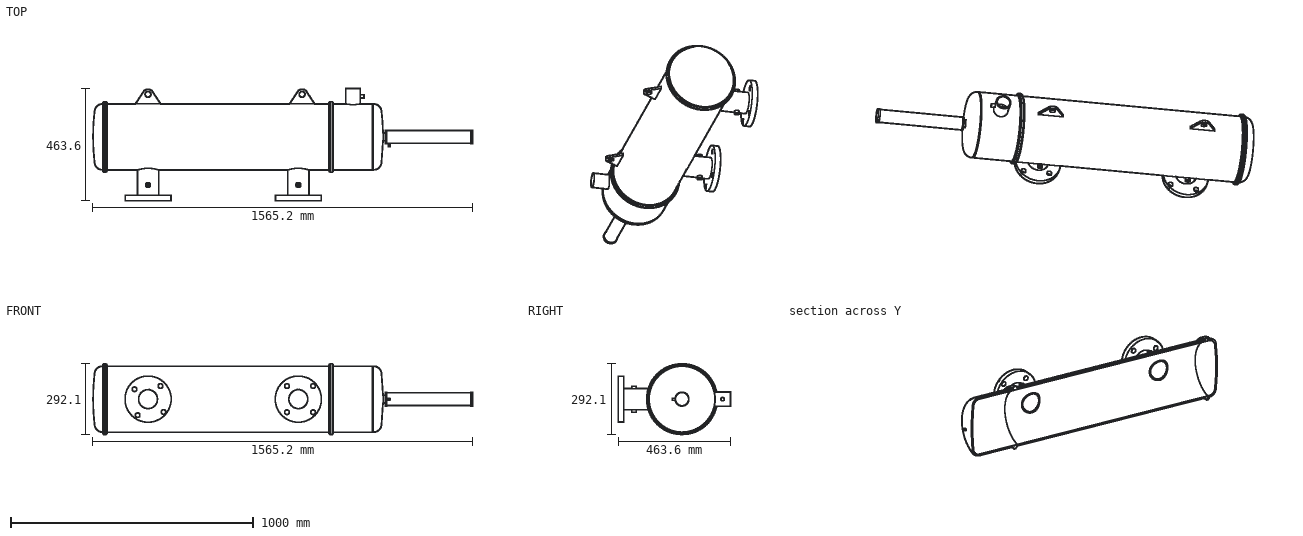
import cadquery as cq
import math

overall_length = 1565.21

shell_od = 273.05
wall = 9.27
ring_od = 292.1
ring_width = 19.0
ring_edge_chamfer = 5.5
head_depth = 40.0
knuckle_radius = 34.0
lid_joint_x = head_depth + ring_width / 2
chamber_joint_x = 972.0
chamber_end_x = 1196.0
weld_groove_width = 5.0
weld_groove_depth = 0.8

first_nozzle_x = 227.2
nozzle_spacing = 619.3
nozzle_xs = (first_nozzle_x, first_nozzle_x + nozzle_spacing)
nozzle_bolt_angles = (52.0, 45.0)
nozzle_bolt_offsets = ((4.0, -6.0), (7.0, 0.0))
nozzle_face_y = -263.525
nozzle_od = 88.9
nozzle_bore = 77.9
flange_od = 190.5
flange_thickness = 23.8
bolt_circle = 152.4
bolt_hole = 19.05
bolt_count = 4
gauge_port_y = -198.0
gauge_port_od = 20.0
gauge_port_bore = 9.0
gauge_port_reach = 54.0

lug_spacing = 635.0
first_lug_x = 227.0
lug_xs = (first_lug_x, first_lug_x + lug_spacing)
lug_half_base = 52.0
lug_eye_y = 175.5
lug_tip_radius = 22.0
lug_eye = 23.0
lug_thickness = 9.525

outlet_x = 1072.0
outlet_top_y = 200.025
outlet_od = 60.3
outlet_bore = 52.5
drain_y = 167.0
drain_od = 14.0
drain_reach = 45.5

cylinder_start_x = 1205.5
cylinder_od = 54.0
cap_od = 57.15
front_cap_thickness = 5.0
rear_cap_thickness = 8.0
rod_od = 33.4
piston_port_x = 1220.5
piston_port_od = 8.5
piston_port_reach = 41.0

shell_radius = shell_od / 2
inner_radius = shell_radius - wall
knuckle_offset = shell_radius - knuckle_radius
knuckle_drop = head_depth - knuckle_radius
crown_radius = knuckle_radius + (knuckle_offset**2 + knuckle_drop**2) / (2 * knuckle_drop)


def x_cylinder(start, end, diameter):
    return cq.Workplane("YZ", origin=(start, 0, 0)).circle(diameter / 2).extrude(end - start)


def y_cylinder(x, start, end, diameter):
    plane = cq.Plane(origin=(x, start, 0), xDir=(1, 0, 0), normal=(0, 1, 0))
    return cq.Workplane(plane).circle(diameter / 2).extrude(end - start)


def z_cylinder(x, y, reach, diameter):
    """Cylinder along Z, reaching equally far above and below Z = 0."""
    return cq.Workplane("XY", origin=(x, y, 0)).circle(diameter / 2).extrude(reach, both=True)


def solid_head(inset):
    """Dished head with its crown at X = 0, its outer surface moved inward by the inset."""
    crown = crown_radius - inset
    knuckle = knuckle_radius - inset
    slope = math.asin(knuckle_offset / (crown_radius - knuckle_radius))
    half = slope / 2
    middle = (slope + math.pi / 2) / 2

    def on_crown(angle):
        return (crown_radius - crown * math.cos(angle), crown * math.sin(angle))

    def on_knuckle(angle):
        return (head_depth - knuckle * math.cos(angle), knuckle_offset + knuckle * math.sin(angle))

    return (
        cq.Workplane("XY")
        .moveTo(*on_crown(0))
        .threePointArc(on_crown(half), on_crown(slope))
        .threePointArc(on_knuckle(middle), on_knuckle(math.pi / 2))
        .lineTo(head_depth, 0)
        .close()
        .revolve(360, (0, 0, 0), (1, 0, 0))
    )


def head():
    """Hollow dished head with its crown at X = 0, opening toward +X."""
    return solid_head(0).cut(solid_head(wall))


def pipe(start, end):
    return x_cylinder(start, end, shell_od).cut(x_cylinder(start, end, 2 * inner_radius))


def ring(start):
    """Flat ring around the shell, with both outer edges chamfered."""
    end = start + ring_width
    disc = x_cylinder(start, end, ring_od).edges().chamfer(ring_edge_chamfer)
    return disc.cut(x_cylinder(start, end, 2 * inner_radius))


def lid_ring():
    """Ring at the lid joint, shared half and half by the lid and the shell."""
    return ring(lid_joint_x - ring_width / 2)


def make_lid():
    half_ring = lid_ring().cut(x_cylinder(lid_joint_x, chamber_joint_x, 2 * ring_od))
    return head().union(half_ring)


def lug(x):
    base_y = math.sqrt(shell_radius**2 - (lug_thickness / 2) ** 2) - wall / 2
    rise = lug_eye_y - shell_radius
    distance = math.hypot(lug_half_base, rise)
    tangent = math.atan2(-rise, lug_half_base) + math.acos(lug_tip_radius / distance)
    side_x = lug_tip_radius * math.cos(tangent)
    side_y = lug_eye_y + lug_tip_radius * math.sin(tangent)
    plate = (
        cq.Workplane("XY", origin=(x, 0, -lug_thickness / 2))
        .moveTo(-lug_half_base, base_y)
        .lineTo(lug_half_base, base_y)
        .lineTo(lug_half_base, shell_radius)
        .lineTo(side_x, side_y)
        .threePointArc((0, lug_eye_y + lug_tip_radius), (-side_x, side_y))
        .lineTo(-lug_half_base, shell_radius)
        .close()
        .extrude(lug_thickness)
    )
    return plate.cut(z_cylinder(x, lug_eye_y, lug_thickness, lug_eye))


def make_shell():
    half_ring = lid_ring().cut(x_cylinder(0, lid_joint_x, 2 * ring_od))
    body = pipe(lid_joint_x, chamber_joint_x).union(half_ring)
    for x in lug_xs:
        body = body.union(lug(x))
    for x in nozzle_xs:
        body = body.cut(y_cylinder(x, nozzle_face_y, 0, nozzle_od))
    return body


def make_nozzle(x, bolt_angle, bolt_offset):
    """Neck with a bolted flange and a gauge port above and below."""
    neck = y_cylinder(x, nozzle_face_y, 0, nozzle_od)
    flange = y_cylinder(x, nozzle_face_y, nozzle_face_y + flange_thickness, flange_od)
    ports = z_cylinder(x, gauge_port_y, gauge_port_reach, gauge_port_od)
    port_bores = z_cylinder(x, gauge_port_y, gauge_port_reach, gauge_port_bore)
    offset_x, offset_z = bolt_offset
    bolts = (
        cq.Workplane("XZ", origin=(x + offset_x, nozzle_face_y + flange_thickness, offset_z))
        .polarArray(bolt_circle / 2, bolt_angle, 360, bolt_count)
        .circle(bolt_hole / 2)
        .extrude(flange_thickness)
    )
    nozzle = neck.union(flange).union(ports).cut(port_bores).cut(bolts)
    nozzle = nozzle.cut(y_cylinder(x, nozzle_face_y, 0, nozzle_bore))
    return nozzle.cut(x_cylinder(0, chamber_joint_x, 2 * inner_radius))


def make_chamber():
    """End chamber with its ring, flush outlet and dished head."""
    head_start = chamber_end_x - head_depth
    end_head = head().mirror("YZ").translate((chamber_end_x, 0, 0))
    outlet = y_cylinder(outlet_x, 0, outlet_top_y, outlet_od)
    drain = (
        cq.Workplane("YZ", origin=(outlet_x, drain_y, 0)).circle(drain_od / 2).extrude(drain_reach)
    )
    outside = outlet.union(drain).cut(x_cylinder(chamber_joint_x, head_start, 2 * inner_radius))
    groove = x_cylinder(head_start - weld_groove_width, head_start, shell_od).cut(
        x_cylinder(head_start - weld_groove_width, head_start, shell_od - 2 * weld_groove_depth)
    )
    return (
        pipe(chamber_joint_x, head_start)
        .cut(groove)
        .union(ring(chamber_joint_x))
        .union(end_head)
        .union(outside)
        .cut(y_cylinder(outlet_x, 0, outlet_top_y, outlet_bore))
        .cut(x_cylinder(head_start, chamber_end_x, rod_od))
    )


def make_piston_cylinder():
    """Cylinder with two end caps, a small port and the rod entering the chamber head."""
    port = y_cylinder(piston_port_x, -piston_port_reach, 0, piston_port_od)
    return (
        x_cylinder(cylinder_start_x, overall_length, cylinder_od)
        .union(x_cylinder(cylinder_start_x, cylinder_start_x + front_cap_thickness, cap_od))
        .union(x_cylinder(overall_length - rear_cap_thickness, overall_length, cap_od))
        .union(x_cylinder(chamber_end_x - wall, cylinder_start_x, rod_od))
        .union(port)
    )


lid = make_lid()
shell = make_shell()
nozzles = [
    make_nozzle(x, angle, offset)
    for x, angle, offset in zip(nozzle_xs, nozzle_bolt_angles, nozzle_bolt_offsets)
]
chamber = make_chamber()
piston_cylinder = make_piston_cylinder()

result = cq.Compound.makeCompound(
    [lid.val(), shell.val(), *[nozzle.val() for nozzle in nozzles], chamber.val(), piston_cylinder.val()]
)